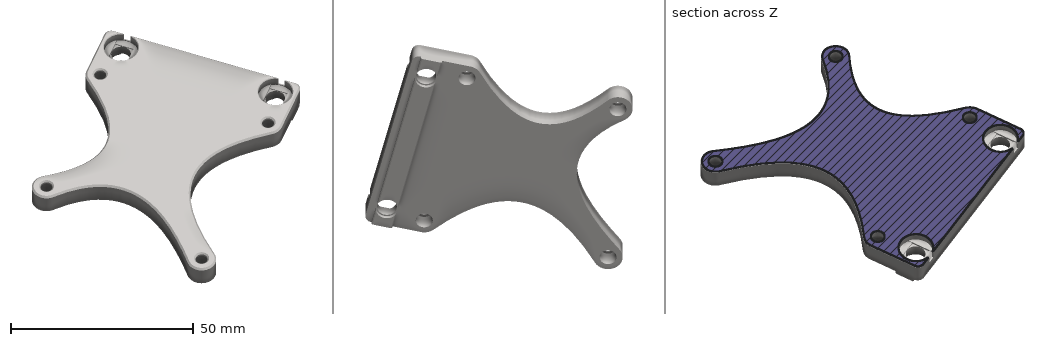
import cadquery as cq
import math

PLATE_THICKNESS = 6.0
TOP_CHAMFER = 0.5
BACK_Y = 35.95
HALF_WIDTH = 57.15 / 2
REAR_CORNER_RADIUS = 2.0

EAR_RADIUS = 4.0
EAR_HOLE_DIAMETER = 3.3
EAR_HOLE_CHAMFER = 0.4
COUNTERSINK_ANGLE = 90
EAR_POCKET_DIAMETER = 4.7
EAR_POCKET_DEPTH = 4.95
REAR_EAR_X = HALF_WIDTH - EAR_RADIUS
REAR_EAR_Y = 19.9
REAR_LEFT_EAR = (-REAR_EAR_X, REAR_EAR_Y)
REAR_RIGHT_EAR = (REAR_EAR_X, REAR_EAR_Y)
FRONT_LEFT_EAR = (-24.3, -22.7)
FRONT_RIGHT_EAR = (24.5, EAR_RADIUS - BACK_Y)
EARS = [REAR_LEFT_EAR, FRONT_LEFT_EAR, FRONT_RIGHT_EAR, REAR_RIGHT_EAR]

LEFT_WAIST = (229.2, 23.6, 124.3, 18.1)
FRONT_WAIST = (318.2, 25.3, 219.2, 17.1)
RIGHT_WAIST = (48.2, 26.2, 306.2, 24.5)

BOLT_X = 22.6
BOLT_Y = 30.9
BOLT_DIAMETER = 5.4
HEAD_DIAMETER = 9.4
HEAD_CHAMFER = 0.2
BREAKOUT_WIDTH = 2.0
HEAD_DEPTH = 2.5
STEP_DEPTH = 0.3

RAIL_WIDTH = 5.8
RAIL_HEIGHT = 1.0
RAIL_CHAMFER = 0.3
RAIL_CLEARANCE_DIAMETER = 6.2


def ear_point(ear, angle):
    """Point on the rim of an ear at the given angle in degrees."""
    turn = math.radians(angle)
    return (ear[0] + EAR_RADIUS * math.cos(turn), ear[1] + EAR_RADIUS * math.sin(turn))


def along_rim(ear, angle, distance):
    """Point reached by going the signed distance along the rim's tangent."""
    x, y = ear_point(ear, angle)
    turn = math.radians(angle)
    return (x - distance * math.sin(turn), y + distance * math.cos(turn))


def add_waist(sketch, first_ear, second_ear, waist):
    """Curve tangent to both ears, starting at the sketch's current point."""
    leave_angle, leave_length, meet_angle, meet_length = waist
    curve_points = [
        along_rim(first_ear, leave_angle, leave_length),
        along_rim(second_ear, meet_angle, -meet_length),
        ear_point(second_ear, meet_angle),
    ]
    return sketch.bezier(curve_points, includeCurrent=True)


def add_ear_arc(sketch, ear, start_angle, end_angle):
    """Counter-clockwise arc around an ear, starting at the current point."""
    middle = (start_angle + end_angle) / 2
    return sketch.threePointArc(ear_point(ear, middle), ear_point(ear, end_angle))


def plate_outline():
    """Closed outline of the plate, counter-clockwise from the rear left corner."""
    sketch = cq.Workplane("XY")
    sketch = sketch.moveTo(-HALF_WIDTH, BACK_Y).lineTo(-HALF_WIDTH, REAR_EAR_Y)
    sketch = add_ear_arc(sketch, REAR_LEFT_EAR, 180, LEFT_WAIST[0])
    sketch = add_waist(sketch, REAR_LEFT_EAR, FRONT_LEFT_EAR, LEFT_WAIST)
    sketch = add_ear_arc(sketch, FRONT_LEFT_EAR, LEFT_WAIST[2], FRONT_WAIST[0])
    sketch = add_waist(sketch, FRONT_LEFT_EAR, FRONT_RIGHT_EAR, FRONT_WAIST)
    sketch = add_ear_arc(sketch, FRONT_RIGHT_EAR, FRONT_WAIST[2], RIGHT_WAIST[0] + 360)
    sketch = add_waist(sketch, FRONT_RIGHT_EAR, REAR_RIGHT_EAR, RIGHT_WAIST)
    sketch = add_ear_arc(sketch, REAR_RIGHT_EAR, RIGHT_WAIST[2], 360)
    return sketch.lineTo(HALF_WIDTH, BACK_Y).close()


def make_plate():
    """Plate with rounded rear corners, a chamfered top and stepped ear holes."""
    plate = plate_outline().extrude(PLATE_THICKNESS)
    plate = plate.faces(">Y").edges("|Z").fillet(REAR_CORNER_RADIUS)
    plate = plate.faces(">Z").edges().chamfer(TOP_CHAMFER)
    rim_diameter = EAR_HOLE_DIAMETER + 2 * EAR_HOLE_CHAMFER
    top = plate.faces(">Z").workplane(origin=(0, 0, PLATE_THICKNESS))
    plate = top.pushPoints(EARS).cskHole(EAR_HOLE_DIAMETER, rim_diameter, COUNTERSINK_ANGLE)
    pockets = cq.Workplane("XY").pushPoints(EARS).circle(EAR_POCKET_DIAMETER / 2).extrude(EAR_POCKET_DEPTH)
    return plate.cut(pockets)


def make_rail():
    """Rail across the full width, with chamfered lower edges and screw clearance."""
    rail = (
        cq.Workplane("XY", origin=(0, BOLT_Y, -RAIL_HEIGHT))
        .rect(2 * HALF_WIDTH, RAIL_WIDTH)
        .extrude(RAIL_HEIGHT)
        .faces("<Z").edges("|X").chamfer(RAIL_CHAMFER)
    )
    clearance = (
        cq.Workplane("XY", origin=(0, 0, -RAIL_HEIGHT))
        .pushPoints([(-BOLT_X, BOLT_Y), (BOLT_X, BOLT_Y)])
        .circle(RAIL_CLEARANCE_DIAMETER / 2)
        .extrude(RAIL_HEIGHT)
    )
    return rail.cut(clearance)


def bolt_cutter(x):
    """Head recess open to the rear, then a slot, a square and a round hole, each one step deeper."""
    head_floor = PLATE_THICKNESS - HEAD_DEPTH
    slot_floor = head_floor - STEP_DEPTH
    square_floor = slot_floor - STEP_DEPTH

    def layer(bottom_z):
        return cq.Workplane("XY", origin=(x, BOLT_Y, bottom_z))

    head = layer(head_floor).circle(HEAD_DIAMETER / 2).extrude(HEAD_DEPTH)
    rim = (
        layer(PLATE_THICKNESS - HEAD_CHAMFER)
        .circle(HEAD_DIAMETER / 2)
        .workplane(offset=HEAD_CHAMFER)
        .circle(HEAD_DIAMETER / 2 + HEAD_CHAMFER)
        .loft()
    )
    breakout = (
        layer(head_floor)
        .center(0, (BACK_Y - BOLT_Y) / 2)
        .rect(BREAKOUT_WIDTH, BACK_Y - BOLT_Y)
        .extrude(HEAD_DEPTH)
    )
    slot_disc = layer(slot_floor).circle(HEAD_DIAMETER / 2).extrude(STEP_DEPTH)
    slot = layer(slot_floor).rect(BOLT_DIAMETER, HEAD_DIAMETER).extrude(STEP_DEPTH)
    square = layer(square_floor).rect(BOLT_DIAMETER, BOLT_DIAMETER).extrude(STEP_DEPTH)
    shank = layer(0).circle(BOLT_DIAMETER / 2).extrude(PLATE_THICKNESS)
    cutter = head.union(rim).union(breakout)
    return cutter.union(slot.intersect(slot_disc)).union(square).union(shank)


result = make_plate().union(make_rail())
for bolt_x in (-BOLT_X, BOLT_X):
    result = result.cut(bolt_cutter(bolt_x))